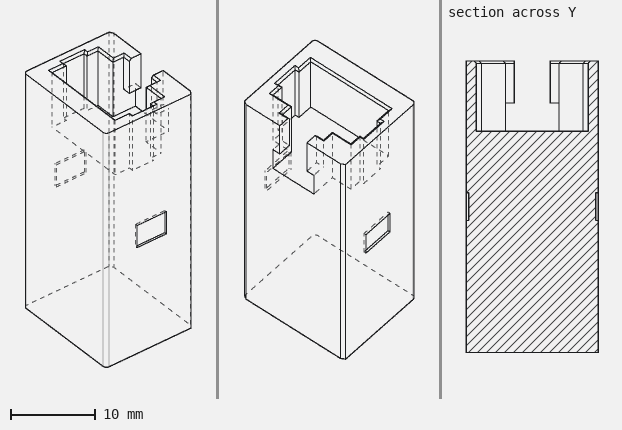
import cadquery as cq
import math

body_width = 15.6
body_depth = 13.15
body_height = 34.4
front_corner_radius = 0.5
back_bevel_y = 0.3
back_bevel_angle = 30
back_bevel_x = back_bevel_y / math.tan(math.radians(back_bevel_angle))
top_z = body_height / 2
back_y = body_depth / 2

cavity_width = 12.0
cavity_front_y = -3.72
cavity_back_y = 3.18
cavity_depth = 8.3
cavity_floor_z = top_z - cavity_depth
lead_in = 0.3

groove_span = 13.15
groove_front_y = -1.57
groove_back_y = 1.55

latch_width = 6.3
latch_back_y = 4.8
slot_width = 4.2
bridge_height = 5.0
window_height = cavity_depth - bridge_height

recess_length = 4.4
recess_height = 3.25
recess_depth = 0.3
recess_y = 0.35


def cavity_outline(growth):
    """Stepped plug outline on the top face, moved outward by growth."""
    cavity_x = cavity_width / 2 + growth
    groove_x = groove_span / 2 + growth
    latch_x = latch_width / 2 + growth
    front = cavity_front_y - growth
    groove_front = groove_front_y - growth
    groove_back = groove_back_y + growth
    back = cavity_back_y + growth
    latch_back = latch_back_y + growth
    right_half = [
        (cavity_x, front),
        (cavity_x, groove_front),
        (groove_x, groove_front),
        (groove_x, groove_back),
        (cavity_x, groove_back),
        (cavity_x, back),
        (latch_x, back),
        (latch_x, latch_back),
    ]
    left_half = [(-x, y) for x, y in reversed(right_half)]
    return cq.Workplane("XY", origin=(0, 0, top_z)).polyline(right_half + left_half).close()


def make_body():
    """Block with bevelled back corners and rounded front corners."""
    side_x = body_width / 2
    outline = [
        (-side_x, -back_y),
        (side_x, -back_y),
        (side_x, back_y - back_bevel_y),
        (side_x - back_bevel_x, back_y),
        (-side_x + back_bevel_x, back_y),
        (-side_x, back_y - back_bevel_y),
    ]
    block = cq.Workplane("XY", origin=(0, 0, -top_z)).polyline(outline).close().extrude(body_height)
    return block.edges("|Z and <Y").fillet(front_corner_radius)


def make_cavity():
    """Straight cavity with a 45 degree lead-in around its mouth."""
    straight = cavity_outline(0).extrude(-cavity_depth)
    wide = cavity_outline(lead_in).wires().val()
    narrow = cavity_outline(0).wires().val().translate(cq.Vector(0, 0, -lead_in))
    mouth = cq.Solid.makeLoft([wide, narrow], True)
    return straight.union(cq.Workplane(mouth))


def make_back_opening(width, height, bottom_z):
    """Block that cuts through the back wall from the latch channel."""
    return (
        cq.Workplane("XY", origin=(0, cavity_back_y, bottom_z))
        .rect(width, 2 * (back_y - cavity_back_y))
        .extrude(height)
    )


def make_side_recess(side):
    """Block straddling one side face, so that only its inner half cuts."""
    block = cq.Workplane("XY").box(2 * recess_depth, recess_length, recess_height)
    return block.translate((side * body_width / 2, recess_y, 0))


result = make_body().cut(make_cavity())
result = result.cut(make_back_opening(slot_width, cavity_depth, cavity_floor_z))
result = result.cut(make_back_opening(latch_width, window_height, cavity_floor_z))
for side in (-1, 1):
    result = result.cut(make_side_recess(side))